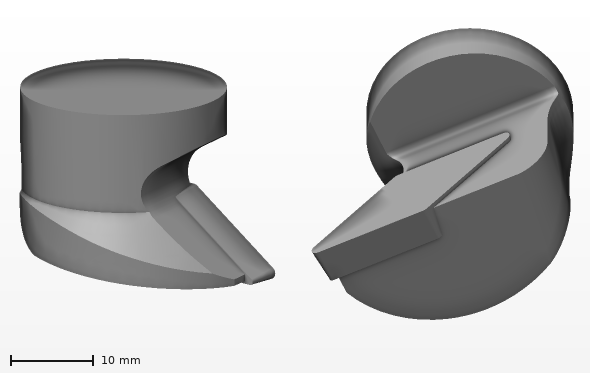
import cadquery as cq
import math

SHANK_RADIUS = 12.5
SHANK_BOTTOM = -12.27
DEEP = -25.9
WIDE = 38.85

CUT_ANGLE = -7.0
WALL_V = 1.78
LEDGE_Z = -5.73
WALL_FILLET = 0.97

FLARE_SLOPE = 1.15
RIM_POINTS = [(-4.95, -12.55), (4.15, -15.12), (11.9, -12.9), (17.58, -6.95), (18.7, -3.9)]
RIM_HEEL_Y = -7.1
NOSE_U = 18.22

HEEL_X = -10.62
HEEL_FLAT_TOP = -9.75
HEEL_FLAT_BOTTOM = -14.25
HEEL_UPPER_RADIUS = 7.77
HEEL_LOWER_RADIUS = 5.0
HEEL_UPPER_MIDDLE = 45.0
HEEL_LOWER_MIDDLE = 40.0
SOLE_START_X = -7.05
SOLE_ANGLE = 5.0

RAKE_ANGLE = 40.0
RAKE_NOSE_Z = -20.35
GULLET_RADIUS = 3.9
GULLET_U = 11.8
ROOF_ANGLE = 32.0

INSERT_EDGE = 16.6
INSERT_POINT_ANGLE = RAKE_ANGLE - SOLE_ANGLE
INSERT_THICKNESS = 4.75
INSERT_BACK_V = 2.4
INSERT_CORNER_RADIUS = 0.8
INSERT_CLEARANCE = 5.0
NOSE_CENTRE_U = 18.9
NOSE_CENTRE_Z = -21.2


def sin(angle):
    return math.sin(math.radians(angle))


def cos(angle):
    return math.cos(math.radians(angle))


def tan(angle):
    return math.tan(math.radians(angle))


def profile_at(v):
    """Workplane of (u, z) profiles at a given v; positive extrusion runs towards -v."""
    return cq.Workplane("XZ", origin=(0, v, 0))


def turned(shape):
    """Turn a shape from the (u, v) frame into place."""
    return shape.rotate((0, 0, 0), (0, 0, 1), CUT_ANGLE)


def make_shank():
    return cq.Workplane("XY").circle(SHANK_RADIUS).extrude(SHANK_BOTTOM)


def make_foot():
    """Footprint under the shank, topped by a cone that flares from the shank."""
    toe_x = RIM_POINTS[-1][0]
    footprint = (
        cq.Workplane("XY", origin=(0, 0, DEEP))
        .moveTo(HEEL_X, RIM_HEEL_Y)
        .spline(RIM_POINTS, includeCurrent=True)
        .lineTo(toe_x, SHANK_RADIUS)
        .lineTo(HEEL_X, SHANK_RADIUS)
        .close()
        .extrude(SHANK_BOTTOM - DEEP)
    )
    cone_radius = SHANK_RADIUS + (SHANK_BOTTOM - DEEP) / FLARE_SLOPE
    cone = (
        cq.Workplane("XZ")
        .polyline([(0, SHANK_BOTTOM), (SHANK_RADIUS, SHANK_BOTTOM), (cone_radius, DEEP), (0, DEEP)])
        .close()
        .revolve(360, (0, 0, 0), (0, 1, 0))
    )
    beyond_nose = cq.Workplane("XY").box(WIDE, 2 * WIDE, -DEEP, centered=(False, True, False))
    beyond_nose = beyond_nose.translate((NOSE_U, 0, DEEP))
    return footprint.intersect(cone).cut(turned(beyond_nose))


def make_rear_cut():
    """Space behind the wall and under the tilted ledge, with a filleted inner corner."""
    rise = WIDE * tan(SOLE_ANGLE)
    space = (
        profile_at(WALL_V)
        .polyline([(-WIDE, LEDGE_Z + rise), (WIDE, LEDGE_Z - rise), (WIDE, DEEP), (-WIDE, DEEP)])
        .close()
        .extrude(-WIDE)
    )
    return turned(space.edges("<Y").edges(">Z").fillet(WALL_FILLET))


def make_heel_cut():
    """Space outside the heel flat and its two arcs."""
    upper_centre_x = HEEL_X - HEEL_UPPER_RADIUS
    lower_centre_x = HEEL_X + HEEL_LOWER_RADIUS
    heel_end_depth = math.sqrt(HEEL_LOWER_RADIUS**2 - (SOLE_START_X - lower_centre_x) ** 2)
    heel_end_z = HEEL_FLAT_BOTTOM - heel_end_depth
    lower_middle = (
        lower_centre_x - HEEL_LOWER_RADIUS * cos(HEEL_LOWER_MIDDLE),
        HEEL_FLAT_BOTTOM - HEEL_LOWER_RADIUS * sin(HEEL_LOWER_MIDDLE),
    )
    upper_middle = (
        upper_centre_x + HEEL_UPPER_RADIUS * cos(HEEL_UPPER_MIDDLE),
        HEEL_FLAT_TOP + HEEL_UPPER_RADIUS * sin(HEEL_UPPER_MIDDLE),
    )
    sole_end_z = heel_end_z - (WIDE - SOLE_START_X) * tan(SOLE_ANGLE)
    return (
        profile_at(WIDE)
        .moveTo(upper_centre_x, HEEL_FLAT_TOP + HEEL_UPPER_RADIUS)
        .threePointArc(upper_middle, (HEEL_X, HEEL_FLAT_TOP))
        .lineTo(HEEL_X, HEEL_FLAT_BOTTOM)
        .threePointArc(lower_middle, (SOLE_START_X, heel_end_z))
        .lineTo(WIDE, sole_end_z)
        .lineTo(WIDE, 2 * DEEP)
        .lineTo(upper_centre_x, 2 * DEEP)
        .close()
        .extrude(2 * WIDE)
    )


def make_gullet_cut():
    rake_z = RAKE_NOSE_Z + (NOSE_U - GULLET_U) * tan(RAKE_ANGLE)
    centre_z = rake_z + GULLET_RADIUS / cos(RAKE_ANGLE)
    floor_start = (GULLET_U - GULLET_RADIUS * sin(RAKE_ANGLE), centre_z - GULLET_RADIUS * cos(RAKE_ANGLE))
    roof_start = (GULLET_U - GULLET_RADIUS * sin(ROOF_ANGLE), centre_z + GULLET_RADIUS * cos(ROOF_ANGLE))
    floor_end_z = floor_start[1] - (WIDE - floor_start[0]) * tan(RAKE_ANGLE)
    roof_end_z = roof_start[1] + (WIDE - roof_start[0]) * tan(ROOF_ANGLE)
    gullet = (
        profile_at(WIDE)
        .moveTo(WIDE, floor_end_z)
        .lineTo(*floor_start)
        .threePointArc((GULLET_U - GULLET_RADIUS, centre_z), roof_start)
        .lineTo(WIDE, roof_end_z)
        .close()
        .extrude(2 * WIDE)
    )
    return turned(gullet)


def make_insert():
    """Rhombic insert: one side lies along the sole, the next along the rake face."""
    half_angle = INSERT_POINT_ANGLE / 2
    axis_angle = SOLE_ANGLE + half_angle
    reach = INSERT_CORNER_RADIUS / sin(half_angle)
    point_u = NOSE_CENTRE_U + reach * cos(axis_angle)
    point_z = NOSE_CENTRE_Z - reach * sin(axis_angle)
    rake_side = (-INSERT_EDGE * cos(RAKE_ANGLE), INSERT_EDGE * sin(RAKE_ANGLE))
    sole_side = (-INSERT_EDGE * cos(SOLE_ANGLE), INSERT_EDGE * sin(SOLE_ANGLE))
    outline = (
        cq.Sketch()
        .polygon([
            (point_u, point_z),
            (point_u + rake_side[0], point_z + rake_side[1]),
            (point_u + rake_side[0] + sole_side[0], point_z + rake_side[1] + sole_side[1]),
            (point_u + sole_side[0], point_z + sole_side[1]),
            (point_u, point_z),
        ])
        .vertices()
        .fillet(INSERT_CORNER_RADIUS)
    )
    plate = profile_at(INSERT_BACK_V).placeSketch(outline).extrude(INSERT_THICKNESS, taper=INSERT_CLEARANCE)
    return turned(plate)


def make_holder(insert):
    holder = make_shank().union(make_foot())
    for cut in (make_rear_cut(), make_heel_cut(), make_gullet_cut(), insert):
        holder = holder.cut(cut)
    return holder


insert = make_insert()
holder = make_holder(insert)

result = cq.Compound.makeCompound([*holder.vals(), *insert.vals()])